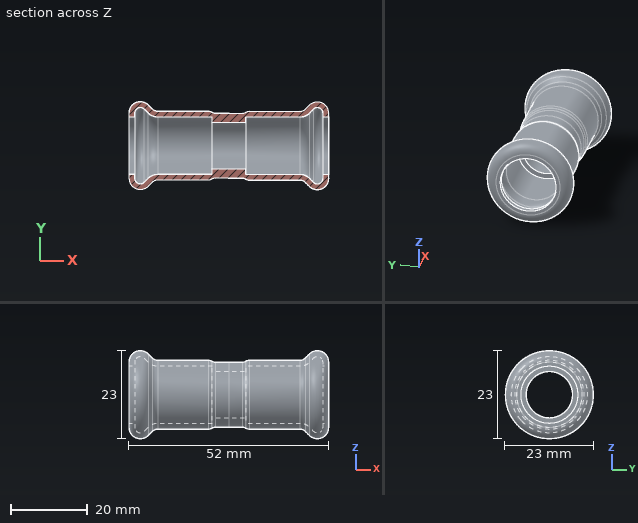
import cadquery as cq
import math


length = 52.0
bead_diameter = 23.0
tube_diameter = 18.0
neck_diameter = 17.0
socket_diameter = 14.85
bore_diameter = 12.0

bead_radius = 2.95
bead_angle = math.radians(45)
flare_fillet = 2.0

neck_length = 7.05
step_radius = 1.7
step_angle = math.radians(30)

half_length = length / 2
tube_r = tube_diameter / 2
neck_r = neck_diameter / 2
socket_r = socket_diameter / 2
bore_r = bore_diameter / 2
wall = tube_r - socket_r

bead_x = bead_radius
bead_r = bead_diameter / 2 - bead_radius
flare_r = tube_r + flare_fillet
arc_reach = bead_radius + flare_fillet
cone_length = (arc_reach * math.cos(bead_angle) - (flare_r - bead_r)) / math.sin(bead_angle)
flare_x = bead_x + arc_reach * math.sin(bead_angle) + cone_length * math.cos(bead_angle)

step_drop = tube_r - neck_r
arc_drop = step_radius * (1 - math.cos(step_angle))
cone_run = (step_drop - 2 * arc_drop) / math.tan(step_angle)
step_run = 2 * step_radius * math.sin(step_angle) + cone_run
neck_x = half_length - neck_length / 2
step_x = neck_x - step_run
stop_x = step_x + step_run / 2


def on_arc(x, r, radius, angle):
    """Point on an arc, the angle measured from outward radial toward the middle of the part."""
    return (x + radius * math.sin(angle), r + radius * math.cos(angle))


def half_profile():
    """Wall section of one half, from the mouth at X = 0 to the middle."""
    groove_radius = bead_radius - wall
    inner_flare = flare_fillet + wall
    bead_middle = (bead_angle - math.pi / 2) / 2
    flare_start = math.pi + bead_angle
    flare_middle = math.pi + bead_angle / 2
    return (
        cq.Workplane("XY")
        .moveTo(0, socket_r)
        .lineTo(0, bead_r)
        .threePointArc(
            on_arc(bead_x, bead_r, bead_radius, bead_middle),
            on_arc(bead_x, bead_r, bead_radius, bead_angle),
        )
        .lineTo(*on_arc(flare_x, flare_r, flare_fillet, flare_start))
        .threePointArc(on_arc(flare_x, flare_r, flare_fillet, flare_middle), (flare_x, tube_r))
        .lineTo(step_x, tube_r)
        .threePointArc(
            on_arc(step_x, tube_r - step_radius, step_radius, step_angle / 2),
            on_arc(step_x, tube_r - step_radius, step_radius, step_angle),
        )
        .lineTo(*on_arc(neck_x, neck_r + step_radius, step_radius, math.pi + step_angle))
        .threePointArc(
            on_arc(neck_x, neck_r + step_radius, step_radius, math.pi + step_angle / 2),
            (neck_x, neck_r),
        )
        .lineTo(half_length, neck_r)
        .lineTo(half_length, bore_r)
        .lineTo(stop_x, bore_r)
        .lineTo(stop_x, socket_r)
        .lineTo(flare_x, socket_r)
        .threePointArc(
            on_arc(flare_x, flare_r, inner_flare, flare_middle),
            on_arc(flare_x, flare_r, inner_flare, flare_start),
        )
        .lineTo(*on_arc(bead_x, bead_r, groove_radius, bead_angle))
        .threePointArc(on_arc(bead_x, bead_r, groove_radius, bead_middle), (wall, bead_r))
        .lineTo(wall, socket_r)
        .close()
    )


left_half = half_profile().revolve(360, (0, 0, 0), (1, 0, 0)).translate((-half_length, 0, 0))
right_half = left_half.rotate((0, 0, 0), (0, 0, 1), 180)
result = left_half.union(right_half).clean()